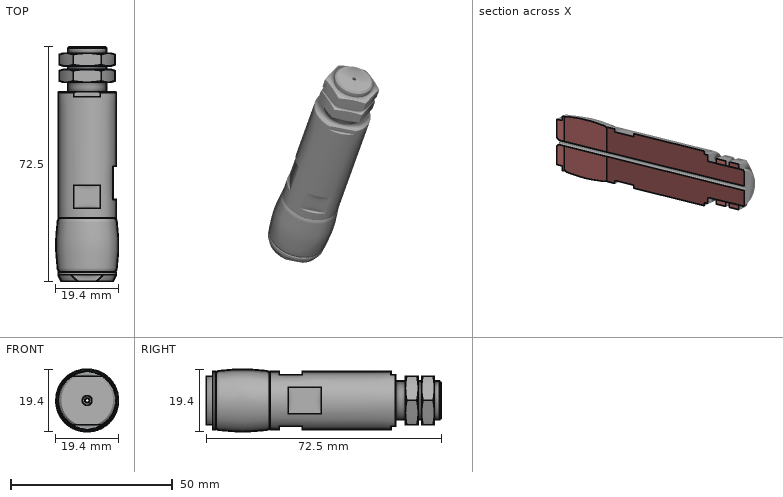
import cadquery as cq
import math

overall_length = 72.5
barrel_diameter = 18.0
bore_diameter = 1.3

cap_length = 3.05
cap_cone_length = 2.0
cap_front_diameter = 15.95
cap_front_fillet = 0.2
cap_rear_chamfer = 0.2
cap_across_flats = 15.0
countersink_diameter = 3.0

sleeve_length = 16.45
sleeve_end_diameter = 17.4
sleeve_shoulder_diameter = 18.4
sleeve_max_diameter = 19.35
sleeve_shoulder_length = 1.15
shoulder_bulge = 0.11

barrel_length = 39.0
barrel_chamfer = 0.2
stem_diameter = 12.0
stem_end_diameter = 10.95
across_flats = 16.0
rear_flat_length = 1.45
wrench_flat_length = 7.0
wrench_flat_y = 22.6
side_flat_length = 10.15
side_flat_y = 25.4

nut_across_flats = 15.0
nut_thickness = 4.0
nut_face_diameter = 14.8
nut_chamfer_length = 0.4
nut_pitch = 5.0
first_nut_y = 61.5
nut_count = 2

sleeve_y = cap_length
barrel_y = sleeve_y + sleeve_length
barrel_end_y = barrel_y + barrel_length


def y_cylinder(diameter, y_start, length):
    """Solid cylinder along the Y axis."""
    plane = cq.Plane(origin=(0, y_start, 0), xDir=(1, 0, 0), normal=(0, 1, 0))
    return cq.Workplane(plane).circle(diameter / 2).extrude(length)


def revolve_profile(points):
    """Turn a closed (radius, y) outline about the Y axis."""
    return cq.Workplane("XY").polyline(points).close().revolve(360, (0, 0, 0), (0, 1, 0))


def flat_cutter(flat_distance, y_start, length):
    """Block that removes everything on the +X side of a flat facing +X."""
    depth = barrel_diameter
    block = cq.Workplane("XY").box(depth, length, 2 * barrel_diameter, centered=(False, False, True))
    return block.translate((flat_distance, y_start, 0))


def cut_top_and_bottom_flats(body, width_across, y_start, length):
    """Cut a pair of parallel flats facing +Z and -Z."""
    cutter = flat_cutter(width_across / 2, y_start, length)
    for angle in (90, -90):
        body = body.cut(cutter.rotate((0, 0, 0), (0, 1, 0), angle))
    return body


def make_cap():
    front_radius = cap_front_diameter / 2
    outer_radius = barrel_diameter / 2
    cap = revolve_profile([
        (0, 0),
        (front_radius, 0),
        (outer_radius, cap_cone_length),
        (outer_radius, cap_length - cap_rear_chamfer),
        (outer_radius - cap_rear_chamfer, cap_length),
        (0, cap_length),
    ])
    cap = cap.faces("<Y").edges().fillet(cap_front_fillet)
    cap = cut_top_and_bottom_flats(cap, cap_across_flats, 0, cap_cone_length)

    countersink_radius = countersink_diameter / 2
    countersink = revolve_profile([(0, 0), (countersink_radius, 0), (0, countersink_radius)])
    return cap.cut(countersink).cut(y_cylinder(bore_diameter, 0, cap_length))


def make_sleeve():
    end_radius = sleeve_end_diameter / 2
    shoulder_radius = sleeve_shoulder_diameter / 2
    front_shoulder_y = sleeve_y + sleeve_shoulder_length
    rear_shoulder_y = barrel_y - sleeve_shoulder_length
    middle_y = (sleeve_y + barrel_y) / 2

    chord = math.hypot(shoulder_radius - end_radius, sleeve_shoulder_length)
    arc_radius = (end_radius + shoulder_radius) / 2 + shoulder_bulge * sleeve_shoulder_length / chord
    arc_inset = sleeve_shoulder_length / 2 - shoulder_bulge * (shoulder_radius - end_radius) / chord

    sleeve = (
        cq.Workplane("XY")
        .moveTo(0, sleeve_y)
        .lineTo(end_radius, sleeve_y)
        .threePointArc((arc_radius, sleeve_y + arc_inset), (shoulder_radius, front_shoulder_y))
        .threePointArc((sleeve_max_diameter / 2, middle_y), (shoulder_radius, rear_shoulder_y))
        .threePointArc((arc_radius, barrel_y - arc_inset), (end_radius, barrel_y))
        .lineTo(0, barrel_y)
        .close()
        .revolve(360, (0, 0, 0), (0, 1, 0))
    )
    return sleeve.cut(y_cylinder(bore_diameter, sleeve_y, sleeve_length))


def make_housing():
    barrel = y_cylinder(barrel_diameter, barrel_y, barrel_length)
    barrel = barrel.faces("<Y or >Y").edges().chamfer(barrel_chamfer)

    rear_flat_y = barrel_end_y - rear_flat_length
    barrel = cut_top_and_bottom_flats(barrel, across_flats, rear_flat_y, rear_flat_length)
    barrel = cut_top_and_bottom_flats(barrel, across_flats, wrench_flat_y, wrench_flat_length)

    barrel = barrel.cut(flat_cutter(across_flats / 2, side_flat_y, side_flat_length))

    stem_chamfer = (stem_diameter - stem_end_diameter) / 2
    stem = y_cylinder(stem_diameter, barrel_end_y, overall_length - barrel_end_y)
    stem = stem.faces(">Y").edges().chamfer(stem_chamfer)

    bore = y_cylinder(bore_diameter, barrel_y, overall_length - barrel_y)
    return barrel.union(stem).cut(bore)


def make_nut(y_start):
    """Hexagon nut with flats facing +Z and -Z and corners chamfered on both faces."""
    corner_diameter = nut_across_flats / math.cos(math.pi / 6)
    face_radius = nut_face_diameter / 2
    corner_radius = corner_diameter / 2
    plane = cq.Plane(origin=(0, 0, 0), xDir=(1, 0, 0), normal=(0, 1, 0))
    hexagon = cq.Workplane(plane).polygon(6, corner_diameter).extrude(nut_thickness)
    chamfer_envelope = revolve_profile([
        (0, 0),
        (face_radius, 0),
        (corner_radius, nut_chamfer_length),
        (corner_radius, nut_thickness - nut_chamfer_length),
        (face_radius, nut_thickness),
        (0, nut_thickness),
    ])
    hole = y_cylinder(stem_diameter, 0, nut_thickness)
    return hexagon.intersect(chamfer_envelope).cut(hole).translate((0, y_start, 0))


cap = make_cap()
sleeve = make_sleeve()
housing = make_housing()
nuts = [make_nut(first_nut_y + index * nut_pitch) for index in range(nut_count)]

result = cq.Compound.makeCompound([
    cap.val(),
    sleeve.val(),
    housing.val(),
    *[nut.val() for nut in nuts],
])